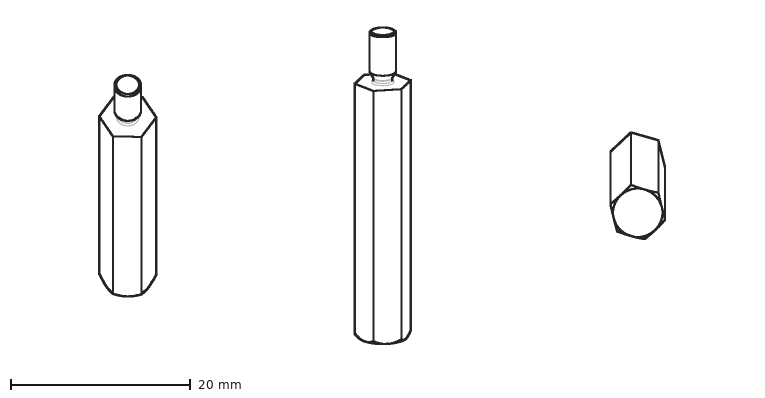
import cadquery as cq
import math

total_length = 36.0
across_flats = 5.5
stud_diameter = 3.0
stud_tip_diameter = 2.55
stud_tip_chamfer_height = 0.18
neck_diameter = 2.12
neck_fillet_radius = 0.198
undercut_length = 1.25
undercut_cone_angle = 30.0
foot_chamfer_angle = 45.0

stud_length = total_length / 6
hex_length = total_length - stud_length
across_corners = across_flats / math.cos(math.radians(30))
corner_radius = across_corners / 2
foot_radius = across_flats / 2
stud_radius = stud_diameter / 2
neck_radius = neck_diameter / 2


def hex_body():
    """Hexagonal bar with corners on X, its bottom corners turned off by a cone."""
    bar = cq.Workplane("XY").polygon(6, across_corners).extrude(hex_length)
    chamfer_height = (corner_radius - foot_radius) / math.tan(math.radians(foot_chamfer_angle))
    envelope = (
        cq.Workplane("XZ")
        .lineTo(foot_radius, 0)
        .lineTo(corner_radius, chamfer_height)
        .lineTo(corner_radius, hex_length)
        .lineTo(0, hex_length)
        .close()
        .revolve(360, (0, 0, 0), (0, 1, 0))
    )
    return bar.intersect(envelope)


def stud():
    """Round stud with a filleted, cone-ended undercut at its root and a chamfered tip."""
    angle = math.radians(undercut_cone_angle)
    radius = neck_fillet_radius

    cone_start_radius = neck_radius + radius * (1 - math.cos(angle))
    cone_end = hex_length + undercut_length
    cone_start = cone_end - (stud_radius - cone_start_radius) / math.tan(angle)
    upper_fillet_start = cone_start - radius * math.sin(angle)
    upper_fillet_middle = (
        neck_radius + radius * (1 - math.cos(angle / 2)),
        upper_fillet_start + radius * math.sin(angle / 2),
    )

    lower_fillet_end = hex_length + radius
    diagonal_offset = radius * (1 - math.sqrt(0.5))
    lower_fillet_middle = (neck_radius + diagonal_offset, hex_length + diagonal_offset)

    return (
        cq.Workplane("XZ")
        .moveTo(0, hex_length)
        .lineTo(neck_radius + radius, hex_length)
        .threePointArc(lower_fillet_middle, (neck_radius, lower_fillet_end))
        .lineTo(neck_radius, upper_fillet_start)
        .threePointArc(upper_fillet_middle, (cone_start_radius, cone_start))
        .lineTo(stud_radius, cone_end)
        .lineTo(stud_radius, total_length - stud_tip_chamfer_height)
        .lineTo(stud_tip_diameter / 2, total_length)
        .lineTo(0, total_length)
        .close()
        .revolve(360, (0, 0, 0), (0, 1, 0))
    )


result = hex_body().union(stud())